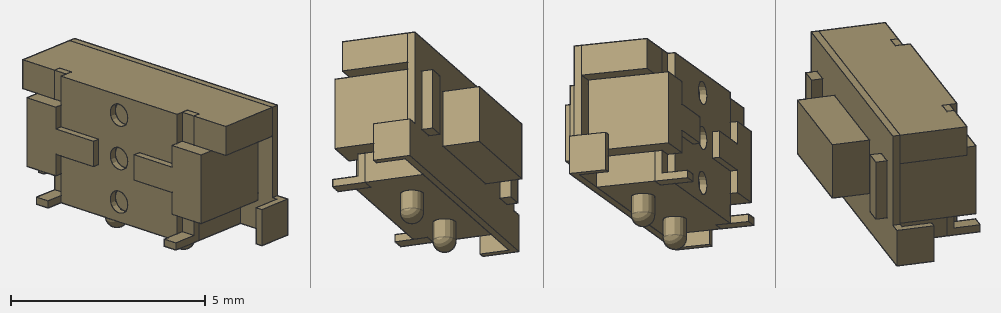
import cadquery as cq


overall_width = 7.7
sheet = 0.2

body_height = 3.5
head_width = 7.0
core_width = 4.805
pad_width = 4.005
head_bottom = 2.7
rear_face = -2.0

cheek_span = 6.005
cheek_bottom = 0.8
arm_height = 0.7
arm_gap = 1.4
lug_width = 0.5
lug_reach = 0.3
lug_top = 2.6

hole_diameter = 0.6
hole_pitch = 1.2

peg_diameter = 0.6
peg_length = 0.79
peg_spacing = 2.295
peg_y = -1.0

wing_depth = 1.0
wing_height = 1.0

button_width = 3.0
button_height = 1.5
button_reach = 1.0
button_bottom = 1.055

foot_end = -2.7

plate_back = -sheet
pad_face = rear_face - sheet
arm_face = pad_face - sheet
contact_front = rear_face + sheet
lug_bottom = wing_height
mid_height = body_height / 2
sides = (-1, 1)


def block(x, y, z):
    """Box filling the given (start, end) ranges along X, Y and Z."""
    x, y, z = sorted(x), sorted(y), sorted(z)
    size = (x[1] - x[0], y[1] - y[0], z[1] - z[0])
    return cq.Workplane("XY").box(*size, centered=False).translate((x[0], y[0], z[0]))


def centred(width, middle=0):
    """Range of a given width about a middle value."""
    return middle - width / 2, middle + width / 2


def mirrored(side, inner, outer):
    """X range between two distances from the symmetry plane, on one side."""
    return side * inner, side * outer


def make_terminal(side):
    """L-shaped terminal: upright strip in the housing corner and a foot."""
    x = mirrored(side, pad_width / 2, core_width / 2)
    strip = block(x, (contact_front, rear_face), (0, body_height))
    foot = block(x, (rear_face, foot_end), (0, sheet))
    return strip.union(foot)


def make_contact_strip():
    """Upright strip inside the housing that closes the three pad holes."""
    height = 2 * hole_pitch + hole_diameter
    return block(centred(hole_diameter), (contact_front, rear_face), centred(height, mid_height))


def make_button():
    """Plain button standing in the plate window."""
    return block(
        centred(button_width),
        (plate_back, button_reach),
        (button_bottom, button_bottom + button_height),
    )


def make_lug(side):
    """Lug of the housing that passes through the cover plate."""
    outer = cheek_span / 2
    x = mirrored(side, outer - lug_width, outer)
    return block(x, (plate_back, lug_reach), (lug_bottom, lug_top))


def make_cheek(side):
    """Side cheek of the housing: wall, jaw behind the terminal, and rear arm."""
    outer = cheek_span / 2
    height = (cheek_bottom, head_bottom)
    wall = block(mirrored(side, core_width / 2, outer), (plate_back, rear_face), height)
    jaw = block(mirrored(side, pad_width / 2, outer), (rear_face, arm_face), height)
    arm = block(
        mirrored(side, arm_gap / 2, outer),
        (pad_face, arm_face),
        centred(arm_height, mid_height),
    )
    return wall.union(jaw).union(arm)


def make_peg(side):
    """Round-ended locating peg under the housing."""
    radius = peg_diameter / 2
    shank_end = radius - peg_length
    shank = cq.Workplane("XY").circle(radius).extrude(shank_end)
    tip = cq.Workplane("XY").sphere(radius).translate((0, 0, shank_end))
    return shank.union(tip).translate((side * peg_spacing / 2, peg_y, 0))


def make_pad_hole(z):
    """Cutter for one round hole from the pad face to the contact strip."""
    plane = cq.Workplane("XZ", origin=(0, rear_face, z))
    return plane.circle(hole_diameter / 2).extrude(sheet)


def make_housing(contacts):
    """Housing with head, core, pad, cheeks, lugs, pegs and contact recesses."""
    depth = (plate_back, rear_face)
    housing = block(centred(core_width), depth, (0, body_height))
    housing = housing.union(block(centred(head_width), depth, (head_bottom, body_height)))
    housing = housing.union(block(centred(pad_width), (rear_face, pad_face), (0, body_height)))
    for side in sides:
        housing = housing.union(make_cheek(side))
        housing = housing.union(make_lug(side))
        housing = housing.union(make_peg(side))
    for step in (-1, 0, 1):
        housing = housing.cut(make_pad_hole(mid_height + step * hole_pitch))
    for contact in contacts:
        housing = housing.cut(contact)
    return housing


def make_plate(button):
    """Cover plate with bent solder wings, a button window and lug slots."""
    plate = block(centred(head_width), (plate_back, 0), (0, body_height))
    plate = plate.union(block(centred(overall_width), (plate_back, 0), (0, wing_height)))
    for side in sides:
        x = mirrored(side, overall_width / 2 - sheet, overall_width / 2)
        plate = plate.union(block(x, (-wing_depth, 0), (0, wing_height)))
        plate = plate.cut(make_lug(side))
    return plate.cut(button)


terminals = [make_terminal(side) for side in sides]
contact_strip = make_contact_strip()
button = make_button()
housing = make_housing([contact_strip, *terminals])
plate = make_plate(button)

result = cq.Compound.makeCompound([
    housing.solids().val(),
    plate.solids().val(),
    button.solids().val(),
    contact_strip.solids().val(),
    *[terminal.solids().val() for terminal in terminals],
])